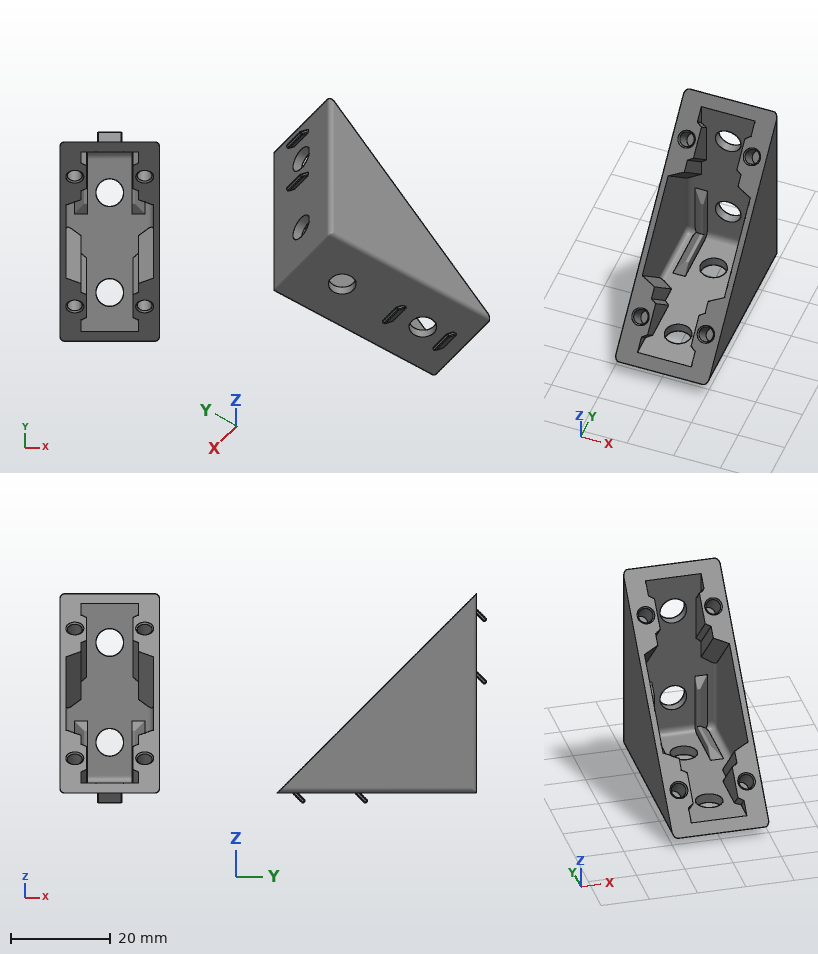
import cadquery as cq
import math

ROOT2 = math.sqrt(2)

WIDTH = 20.0
LEG = 40.0
EDGE_RADIUS = 1.05
HEEL_RADIUS = 0.4
WALL = 2.0

CAVITY_HALF_WIDTH = 8.8
SIDE_FILLET = 1.05
CORNER_FILLET = 1.5
NECK_HALF_WIDTH = 4.65
SHOULDER_HALF_WIDTH = 5.75
POCKET_END = 7.3
POCKET_SHOULDER = 8.4
SHOULDER_END = 10.15
NECK_START = 10.65
NECK_END = 15.2
END_POCKET_START = 15.75

BOLT_DIAMETER = 5.5
BOLT_POSITIONS = (10.2, 30.2)

SCREW_DIAMETER = 3.0
SCREW_CHAMFER = 0.3
CHAMFER_ANGLE = 45.0
SCREW_DEPTH = 6.0
SCREW_X = 7.0
SCREW_HEIGHT = 13.0

RIB_INNER_X = 4.45
RIB_CREST_X = 5.1
RIB_HEIGHT = 2.0
RIB_REACH = 14.5
RIB_EDGE_RADIUS = 0.15

TAB_WIDTH = 5.0
TAB_THICKNESS = 0.8
TAB_PROJECTION = 1.94
TAB_BEVEL = 0.2
TAB_ROOT = 1.0
TAB_CENTRE = 30.1
TAB_SPACING = 12.5
TAB_POSITIONS = (TAB_CENTRE - TAB_SPACING / 2, TAB_CENTRE + TAB_SPACING / 2)

OVERLAP = 1.0


def slope_plane():
    """Plane of the sloping face: local x is X, local y runs up the slope."""
    return cq.Plane(origin=(0, -LEG / 2, LEG / 2), xDir=(1, 0, 0), normal=(0, -1, 1))


def wedge(half_width, leg, inset=0.0):
    """Right-angled prism whose square corner is moved in by inset from both outer faces."""
    corners = [(-inset, inset), (-inset, inset + leg), (-inset - leg, inset)]
    return cq.Workplane("YZ").polyline(corners).close().extrude(half_width, both=True)


def make_body():
    """Solid wedge with rounded side edges along both outer legs."""
    body = wedge(WIDTH / 2, LEG)
    body = body.faces("<X or >X").edges("|Y or |Z").fillet(EDGE_RADIUS)
    heel = cq.selectors.BoxSelector((-WIDTH, -EDGE_RADIUS, 0), (WIDTH, 0, EDGE_RADIUS))
    return body.edges(heel).fillet(HEEL_RADIUS)


def make_cavity():
    """Rounded wedge inside the walls, narrowed to the outline of the opening."""
    core = wedge(CAVITY_HALF_WIDTH, LEG, WALL)
    core = core.edges("|X").edges(">Y").edges("<Z").fillet(CORNER_FILLET)
    core = core.faces("<X or >X").edges("|Y or |Z or %CIRCLE").fillet(SIDE_FILLET)

    quarter = [
        (CAVITY_HALF_WIDTH, POCKET_END),
        (SHOULDER_HALF_WIDTH, POCKET_SHOULDER),
        (SHOULDER_HALF_WIDTH, SHOULDER_END),
        (NECK_HALF_WIDTH, NECK_START),
        (NECK_HALF_WIDTH, NECK_END),
        (SHOULDER_HALF_WIDTH, END_POCKET_START),
        (SHOULDER_HALF_WIDTH, LEG / 2),
    ]
    upper_right = [(x, height * ROOT2) for x, height in quarter]
    upper_left = [(-x, v) for x, v in reversed(upper_right)]
    lower_left = [(-x, -v) for x, v in upper_right]
    lower_right = [(x, -v) for x, v in reversed(upper_right)]
    outline = upper_right + upper_left + lower_left + lower_right
    opening = (
        cq.Workplane(slope_plane())
        .workplane(offset=OVERLAP)
        .polyline(outline)
        .close()
        .extrude(-LEG)
    )
    return core.intersect(opening)


def make_ribs():
    """Pairs of ribs inside both legs, cut off parallel to the sloping face."""
    base_x = RIB_CREST_X + RIB_HEIGHT
    crest = WALL + RIB_HEIGHT
    section = [
        (RIB_INNER_X, OVERLAP),
        (RIB_INNER_X, crest),
        (RIB_CREST_X, crest),
        (base_x, WALL),
        (base_x, OVERLAP),
    ]
    rib = (
        cq.Workplane("XZ", origin=(0, -OVERLAP, 0)).polyline(section).close().extrude(LEG / 2)
    )
    rib = rib.intersect(wedge(WIDTH / 2, RIB_REACH + WALL))
    free_edges = cq.selectors.BoxSelector((0, -LEG, WALL + RIB_EDGE_RADIUS), (WIDTH, -WALL, LEG))
    rib = rib.edges(free_edges).fillet(RIB_EDGE_RADIUS)
    rib = rib.union(rib.mirror(cq.Vector(0, 1, 1)))
    return rib.union(rib.mirror("YZ"))


def cut_bolt_holes(part):
    """Plain holes through both legs, on the middle plane."""
    radius = BOLT_DIAMETER / 2
    for position in BOLT_POSITIONS:
        floor_hole = (
            cq.Workplane("XY", origin=(0, -position, 0)).circle(radius).extrude(WALL)
        )
        wall_hole = (
            cq.Workplane("XZ", origin=(0, 0, position)).circle(radius).extrude(WALL)
        )
        part = part.cut(floor_hole).cut(wall_hole)
    return part


def cut_screw_holes(part):
    """Four blind holes with chamfered mouths, drilled into the sloping face."""
    slope_offset = SCREW_HEIGHT * ROOT2
    centres = [(x, along) for x in (-SCREW_X, SCREW_X) for along in (-slope_offset, slope_offset)]
    face = cq.Workplane(slope_plane()).pushPoints(centres)
    holes = face.circle(SCREW_DIAMETER / 2).extrude(-SCREW_DEPTH)
    mouths = face.circle(SCREW_DIAMETER / 2 + SCREW_CHAMFER).extrude(-SCREW_CHAMFER, taper=CHAMFER_ANGLE)
    return part.cut(holes).cut(mouths)


def make_tab(y, z):
    """Bevelled blade leaving the outer face at (y, z), square to the sloping face."""
    length = TAB_PROJECTION * ROOT2 - TAB_THICKNESS / 2 + TAB_BEVEL
    plane = cq.Plane(origin=(0, y, z), xDir=(1, 0, 0), normal=(0, 1, -1))
    return (
        cq.Workplane(plane)
        .workplane(offset=-TAB_ROOT)
        .rect(TAB_WIDTH, TAB_THICKNESS)
        .extrude(length + TAB_ROOT)
        .edges(cq.selectors.ParallelDirSelector(plane.zDir))
        .chamfer(TAB_BEVEL)
        .faces(cq.selectors.DirectionMinMaxSelector(plane.zDir))
        .edges()
        .chamfer(TAB_BEVEL)
    )


result = make_body().cut(make_cavity()).union(make_ribs())
result = cut_bolt_holes(result)
result = cut_screw_holes(result)
for position in TAB_POSITIONS:
    result = result.union(make_tab(0, position)).union(make_tab(-position, 0))